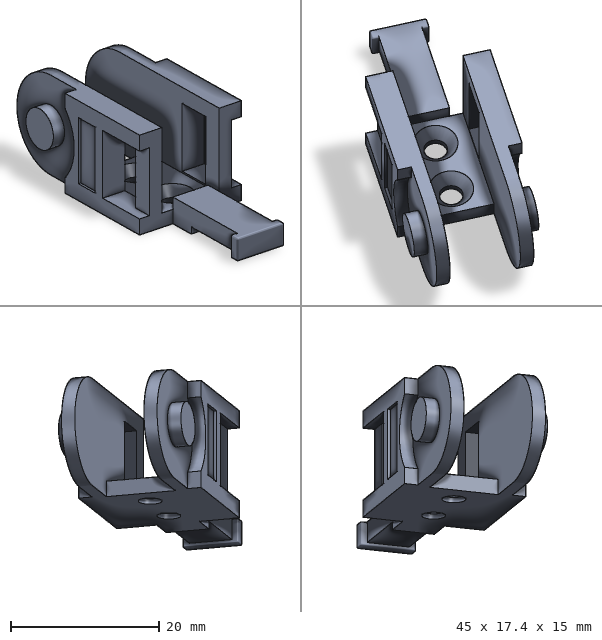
import cadquery as cq

length = 45.0
width = 17.4
height = 15.0

inner_gap = 9.8
cheek_thickness = 1.9
nose_radius = height / 2
block_start = 13.05
block_end = 29.48
relief_radius = 7.6
pin_diameter = 6.05

pocket_start = 16.0
pocket_end = 19.7
pocket_height = 9.9
pocket_depth = 0.4
window_start = 21.35
window_height = 10.15
post_start = 26.45
post_recess = 1.65

floor_start = 13.5
floor_thickness = 2.15
hole_positions = (17.5, 25.5)
hole_diameter = 3.2
sink_diameter = 6.05
sink_angle = 90

tail_width = 6.05
tail_top = 4.0
tail_bottom = 1.1
foot_end = 33.52
head_start = 43.42
head_width = 8.0
head_bottom = 0.55
head_fillet = 0.25

half_width = width / 2
half_gap = inner_gap / 2
mid_height = height / 2
cheek_outer = half_gap + cheek_thickness


def box(x0, x1, y0, y1, z0, z1):
    """Box between two opposite corners."""
    return cq.Workplane("XY").box(x1 - x0, y1 - y0, z1 - z0, centered=False).translate((x0, y0, z0))


def centred_opening(x0, x1, y0, y1, opening_height):
    """Box at mid-height, used to cut the side plates."""
    half_height = opening_height / 2
    return box(x0, x1, y0, y1, mid_height - half_height, mid_height + half_height)


def disc(radius, y0, y1):
    """Disc about the pivot axis, spanning y0 to y1."""
    return (
        cq.Workplane("XZ", origin=(0, y0, 0))
        .center(nose_radius, mid_height)
        .circle(radius)
        .extrude(y0 - y1)
    )


def side_plate():
    """Plate on the +Y side with its nose, pin, relief, pocket and window."""
    plate = box(nose_radius, block_end, half_gap, cheek_outer, 0, height)
    plate = plate.union(disc(nose_radius, half_gap, cheek_outer))
    block = box(block_start, block_end, cheek_outer, half_width, 0, height)
    plate = plate.union(block.cut(disc(relief_radius, cheek_outer, half_width)))
    plate = plate.union(disc(pin_diameter / 2, cheek_outer, half_width))

    pocket_floor = half_width - pocket_depth
    post_face = half_width - post_recess
    plate = plate.cut(centred_opening(pocket_start, pocket_end, pocket_floor, half_width, pocket_height))
    plate = plate.cut(centred_opening(window_start, post_start, half_gap, half_width, window_height))
    return plate.cut(centred_opening(post_start, block_end, post_face, half_width, window_height))


def floor_plate():
    """Floor joining the side plates, with two countersunk holes."""
    plate = box(floor_start, block_end, -half_gap, half_gap, 0, floor_thickness)
    return (
        plate.faces(">Z")
        .workplane(origin=(0, 0, floor_thickness))
        .pushPoints([(x, 0) for x in hole_positions])
        .cskHole(hole_diameter, sink_diameter, sink_angle)
    )


def tail():
    """Tongue behind the floor, with a foot below it and a rounded head."""
    half_tail = tail_width / 2
    half_head = head_width / 2
    tongue_end = head_start + head_fillet
    tongue = box(block_end, tongue_end, -half_tail, half_tail, tail_bottom, tail_top)
    foot = box(block_end, foot_end, -half_tail, half_tail, 0, tail_bottom)
    head = box(head_start, length, -half_head, half_head, head_bottom, tail_top)
    return tongue.union(foot).union(head.edges().fillet(head_fillet))


left_plate = side_plate()
right_plate = left_plate.mirror("XZ")
result = floor_plate().union(left_plate).union(right_plate).union(tail())